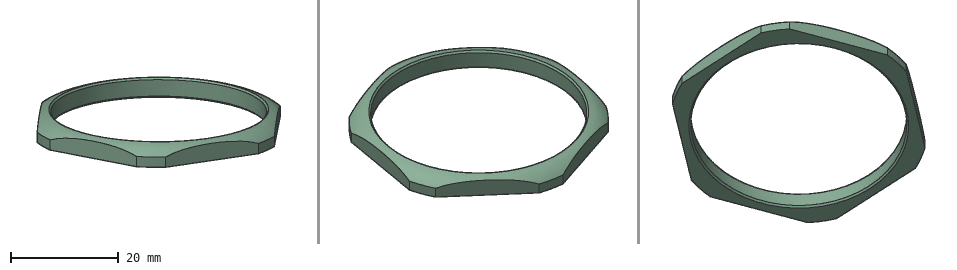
import cadquery as cq
import math

across_flats = 44.0
outer_radius = 24.0
bore_radius = 20.0
height = 3.87
rim_height = 2.0
crown_radius = 7.0
bore_chamfer = 0.35

chamfer_outer_radius = bore_radius + bore_chamfer
across_corners = across_flats / math.cos(math.pi / 6)


def crown_midpoint(rim_top, crown_top):
    """Middle of the crown arc between two profile points, bulging up and outward."""
    dx = crown_top[0] - rim_top[0]
    dz = crown_top[1] - rim_top[1]
    chord = math.hypot(dx, dz)
    bulge = crown_radius - math.sqrt(crown_radius**2 - (chord / 2) ** 2)
    return (
        (rim_top[0] + crown_top[0]) / 2 + bulge * dz / chord,
        (rim_top[1] + crown_top[1]) / 2 - bulge * dx / chord,
    )


def make_ring():
    """Round ring with a crowned shoulder and a chamfered bore, revolved about Z."""
    rim_top = (outer_radius, rim_height)
    crown_top = (chamfer_outer_radius, height)
    profile = (
        cq.Workplane("XZ")
        .moveTo(bore_radius, bore_chamfer)
        .lineTo(chamfer_outer_radius, 0)
        .lineTo(outer_radius, 0)
        .lineTo(*rim_top)
        .threePointArc(crown_midpoint(rim_top, crown_top), crown_top)
        .lineTo(bore_radius, height - bore_chamfer)
        .close()
    )
    return profile.revolve(360, (0, 0, 0), (0, 1, 0))


def make_hexagon():
    """Hexagonal prism with corners on the Y axis."""
    return (
        cq.Workplane("XY")
        .transformed(rotate=(0, 0, 90))
        .polygon(6, across_corners)
        .extrude(height)
    )


result = make_ring().intersect(make_hexagon())